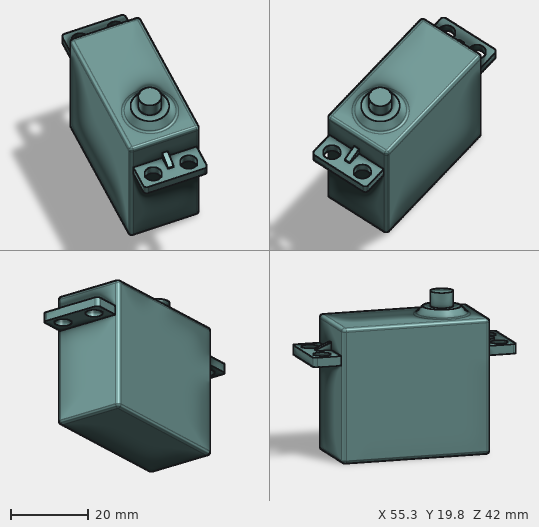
import cadquery as cq

case_length = 40.3
case_width = 19.8
case_height = 36.0
edge_radius = 1.0

ear_length = 7.5
ear_span = case_length + 2 * ear_length
ear_width = case_width - 2 * edge_radius
ear_thickness = 2.5
ear_bottom = 26.0
ear_top = ear_bottom + ear_thickness
ear_corner_radius = 1.0

hole_diameter = 4.5
hole_end_distance = 3.5
hole_spacing_x = ear_span - 2 * hole_end_distance
hole_spacing_y = 10.0

rib_width = 1.6
rib_length = 4.0
rib_tip_height = 0.4
rib_wall_height = 2.0

shaft_diameter = 6.0
shaft_top = 42.0
shaft_end_distance = 10.0
shaft_x = case_length / 2 - shaft_end_distance
collar_top_radius = 5.0
collar_height = 2.0
collar_base_radius = collar_top_radius + collar_height
collar_root_radius = 1.0


def make_case():
    """Box with every edge rounded."""
    box = cq.Workplane("XY").box(case_length, case_width, case_height, centered=(True, True, False))
    return box.edges().fillet(edge_radius)


def make_ears():
    """Flat plate with rounded corners and four screw holes."""
    plate = (
        cq.Workplane("XY", origin=(0, 0, ear_bottom))
        .box(ear_span, ear_width, ear_thickness, centered=(True, True, False))
        .edges("|Z")
        .fillet(ear_corner_radius)
    )
    return (
        plate.faces(">Z")
        .workplane()
        .rarray(hole_spacing_x, hole_spacing_y, 2, 2)
        .hole(hole_diameter)
    )


def make_rib(side):
    """Rib sloping from the case wall down to its tip; side is +1 or -1 along X."""
    wall_x = side * case_length / 2
    tip_x = wall_x + side * rib_length
    return (
        cq.Workplane("XZ")
        .moveTo(wall_x, ear_top)
        .lineTo(tip_x, ear_top)
        .lineTo(tip_x, ear_top + rib_tip_height)
        .lineTo(wall_x, ear_top + rib_wall_height)
        .close()
        .extrude(rib_width / 2, both=True)
    )


def add_collar(body):
    """Cone on top of the case, blended into the top face by a fillet."""
    base_centre = cq.Vector(shaft_x, 0, case_height)
    cone = cq.Solid.makeCone(collar_base_radius, collar_top_radius, collar_height, pnt=base_centre)
    root_edge = cq.selectors.NearestToPointSelector(base_centre.toTuple())
    return body.union(cone).edges(root_edge).fillet(collar_root_radius)


def make_shaft():
    """Output shaft standing on the collar."""
    collar_top = case_height + collar_height
    return (
        cq.Workplane("XY", origin=(shaft_x, 0, collar_top))
        .circle(shaft_diameter / 2)
        .extrude(shaft_top - collar_top)
    )


result = add_collar(make_case())
result = result.union(make_ears())
for side in (-1, 1):
    result = result.union(make_rib(side))
result = result.union(make_shaft())